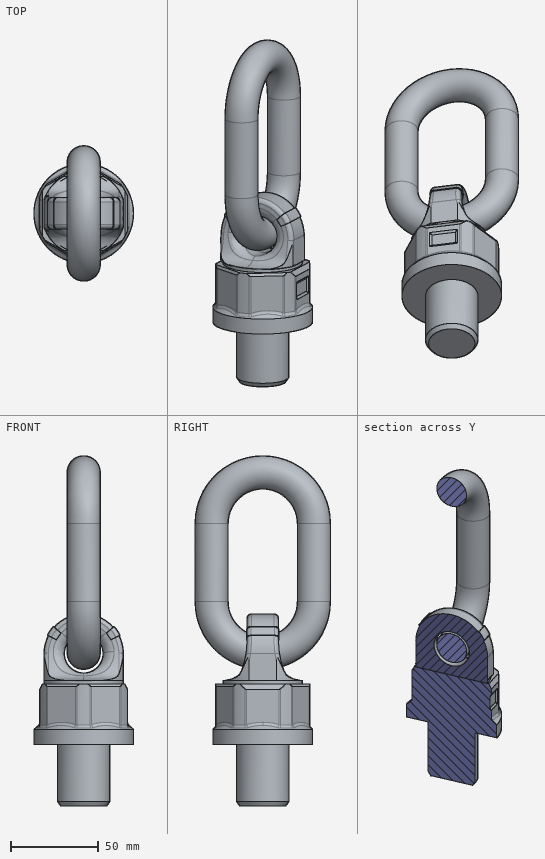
import cadquery as cq
import math

total_height = 200.2
ring_width = 77.5
rod_dia = 19.0
ring_bottom_z = 78.0

shank_dia = 30.0
shank_tip_dia = 26.5
shank_tip_length = 2.6

flange_dia = 57.0
flange_bottom_z = 35.0
flange_top_z = 43.9
hex_top_z = 69.9
hex_flats = 50.3
hex_corner_dia = 53.9
hex_edge_round = 2.5
hex_bevel_height = 3.2
hex_bevel_inset = 1.6
side_bevel_offset = 0.8
skirt_top_dia = 49.3
skirt_top_z = 47.3
skirt_round = 2.5

label_width = 16.5
label_height = 10.5
label_center_z = 57.9
label_depth = 0.8
label_border = 1.5
label_corner = 1.0

eye_width = 45.5
collar_top_z = 71.9
eye_corner_dia = 48.0
eye_center_z = 87.1
eye_top_half = 9.0
eye_upper_z = 99.1
eye_waist_half = 11.2
eye_waist_z = 80.0
flare_half = 14.0
flare_z = 74.5
flare_edge_half = 21.2
eye_base_half = 28.0
eye_hole_dia = 22.0
eye_hole_round = 6.5
eye_edge_round = 2.6

pad_height = 0.6
pad_start_angle = 27.0
pad_end_angle = 42.0
pad_half = 9.2

edge_margin = 0.2

bend_radius = (ring_width - rod_dia) / 2
upper_bend_z = total_height - ring_width / 2
lower_bend_z = ring_bottom_z + ring_width / 2
eye_radius = eye_width / 2
eye_top_z = eye_center_z + eye_radius


def make_ring():
    """Round rod swept along an oval of two straights and two half circles."""
    path = (
        cq.Workplane("YZ")
        .moveTo(bend_radius, lower_bend_z)
        .lineTo(bend_radius, upper_bend_z)
        .threePointArc((0, upper_bend_z + bend_radius), (-bend_radius, upper_bend_z))
        .lineTo(-bend_radius, lower_bend_z)
        .threePointArc((0, lower_bend_z - bend_radius), (bend_radius, lower_bend_z))
        .close()
    )
    rod_section = cq.Workplane("XY", origin=(0, bend_radius, lower_bend_z)).circle(rod_dia / 2)
    return rod_section.sweep(path)


def make_hexagon():
    """Hexagon with flats facing +X and -X, its corners turned down to a cylinder."""
    height = hex_top_z - flange_bottom_z
    base = cq.Workplane("XY").workplane(offset=flange_bottom_z)
    corner_to_corner = hex_flats / math.cos(math.pi / 6)
    prism = base.transformed(rotate=(0, 0, 30)).polygon(6, corner_to_corner).extrude(height)
    prism = prism.intersect(base.circle(hex_corner_dia / 2).extrude(height))
    prism = prism.edges("|Z").fillet(hex_edge_round)
    return prism.intersect(make_hexagon_cap())


def make_hexagon_cap():
    """Tapered envelope that bevels the top edges, deepest on the +X and -X flats."""
    flat = hex_flats / 2
    slant = flat + side_bevel_offset
    shoulder = (slant - flat / 2) / math.cos(math.pi / 6)
    apex = slant / math.cos(math.pi / 6)
    outline = [
        (flat, shoulder),
        (0, apex),
        (-flat, shoulder),
        (-flat, -shoulder),
        (0, -apex),
        (flat, -shoulder),
    ]
    bevel_bottom_z = hex_top_z - hex_bevel_height
    bevel_angle = math.degrees(math.atan(hex_bevel_inset / hex_bevel_height))
    wide = cq.Workplane("XY").workplane(offset=flange_bottom_z).circle(flange_dia)
    bevel = cq.Workplane("XY").workplane(offset=bevel_bottom_z).polyline(outline).close()
    envelope = wide.extrude(bevel_bottom_z - flange_bottom_z)
    return envelope.union(bevel.extrude(hex_bevel_height, taper=bevel_angle))


def make_flange_and_shank():
    """Turned profile: chamfered shank, flange and the conical skirt under the hexagon."""
    return (
        cq.Workplane("XZ")
        .moveTo(0, 0)
        .lineTo(shank_tip_dia / 2, 0)
        .lineTo(shank_dia / 2, shank_tip_length)
        .lineTo(shank_dia / 2, flange_bottom_z)
        .lineTo(flange_dia / 2, flange_bottom_z)
        .lineTo(flange_dia / 2, flange_top_z)
        .lineTo(skirt_top_dia / 2, skirt_top_z)
        .lineTo(0, skirt_top_z)
        .close()
        .revolve(360, (0, 0, 0), (0, 1, 0))
    )


def make_label_pocket():
    """Shallow pocket with sloping walls."""
    slope_angle = math.degrees(math.atan(label_border / label_depth))
    return (
        cq.Workplane("YZ", origin=(-hex_flats / 2, 0, label_center_z))
        .sketch()
        .rect(label_width, label_height)
        .vertices()
        .fillet(label_corner)
        .finalize()
        .extrude(label_depth, taper=slope_angle)
    )


def make_bolt():
    hexagon = make_hexagon()
    bolt = hexagon.union(make_flange_and_shank())
    skirt_box = cq.selectors.BoxSelector(
        (-flange_dia, -flange_dia, flange_top_z + edge_margin),
        (flange_dia, flange_dia, skirt_top_z + edge_margin),
        boundingbox=True,
    )
    bolt = bolt.edges(skirt_box).fillet(skirt_round)
    return bolt.cut(make_label_pocket())


def make_eye_blank():
    """Arched front outline crossed with a side outline that flares into the base."""
    reach = 2 * eye_base_half
    flare_start_direction = (-1, 0.25)
    flare_end_direction = (0, 1)
    front = (
        cq.Workplane("XZ")
        .moveTo(-eye_radius, hex_top_z)
        .lineTo(eye_radius, hex_top_z)
        .lineTo(eye_radius, eye_center_z)
        .threePointArc((0, eye_top_z), (-eye_radius, eye_center_z))
        .close()
        .extrude(reach, both=True)
    )
    flare_points = [
        (flare_edge_half, collar_top_z),
        (flare_half, flare_z),
        (eye_waist_half, eye_waist_z),
        (eye_top_half, eye_upper_z),
    ]
    half_side = (
        cq.Workplane("YZ")
        .moveTo(0, hex_top_z)
        .lineTo(eye_base_half, hex_top_z)
        .spline(flare_points, tangents=[flare_start_direction, flare_end_direction], includeCurrent=True)
        .lineTo(eye_top_half, total_height)
        .lineTo(0, total_height)
        .close()
        .extrude(reach, both=True)
    )
    side = half_side.union(half_side.mirror("XZ"))
    return front.intersect(side)


def round_eye_edges(eye):
    """Round the edges that run up the flanks and over the arch on both faces."""
    outer = eye.edges("not #Z").edges("not |X")
    return outer.fillet(eye_edge_round)


def make_pads():
    """One low pad per shoulder, following the arch and wrapping over its edges."""
    inner_radius = eye_radius - 2 * eye_edge_round
    outer_radius = eye_radius + pad_height

    def on_arch(radius, angle):
        turn = math.radians(angle)
        return (radius * math.cos(turn), eye_center_z + radius * math.sin(turn))

    middle_angle = (pad_start_angle + pad_end_angle) / 2
    pad = (
        cq.Workplane("XZ")
        .moveTo(*on_arch(inner_radius, pad_start_angle))
        .lineTo(*on_arch(outer_radius, pad_start_angle))
        .threePointArc(on_arch(outer_radius, middle_angle), on_arch(outer_radius, pad_end_angle))
        .lineTo(*on_arch(inner_radius, pad_end_angle))
        .close()
        .extrude(pad_half, both=True)
    )
    pad = pad.faces("<Y or >Y").edges("%CIRCLE").fillet(eye_edge_round)
    return pad.union(pad.mirror("YZ"))


def cut_eye_hole(eye):
    """Hole for the ring with generously rounded mouths on both faces."""
    hole = cq.Workplane("XZ", origin=(0, 0, eye_center_z)).circle(eye_hole_dia / 2)
    eye = eye.cut(hole.extrude(2 * eye_base_half, both=True))
    half = eye_hole_dia / 2 + edge_margin
    mouth_box = cq.selectors.BoxSelector(
        (-half, -eye_base_half, eye_center_z - half),
        (half, eye_base_half, eye_center_z + half),
        boundingbox=True,
    )
    return eye.edges(mouth_box).edges("not %LINE").fillet(eye_hole_round)


def make_eye():
    eye = cut_eye_hole(round_eye_edges(make_eye_blank()))
    base = cq.Workplane("XY").workplane(offset=hex_top_z)
    eye = eye.intersect(base.circle(eye_corner_dia / 2).extrude(total_height))
    ledge = base.circle(eye_corner_dia).circle(eye_radius).extrude(collar_top_z - hex_top_z)
    eye = eye.cut(ledge)
    collar = base.circle(eye_radius).extrude(collar_top_z - hex_top_z)
    return eye.union(collar).union(make_pads())


ring = make_ring()
bolt = make_bolt()
eye = make_eye()
result = cq.Compound.makeCompound([ring.val(), bolt.val(), eye.val()])